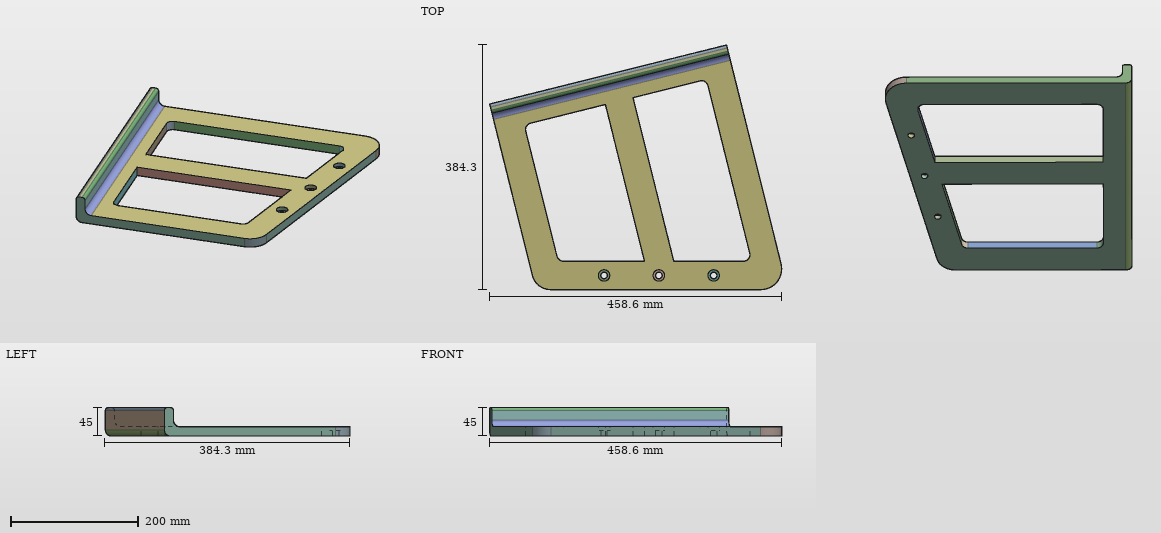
import cadquery as cq
import math

lean = math.radians(14)
width = 383.38
overall_y = 384.33
plate_thickness = 15.0
left_corner_radius = 30.0
right_corner_radius = 33.0

lip_height = 45.0
lip_thickness = 15.0
lip_top_radius = 5.0
lip_root_radius = 10.0
lip_heel_radius = 10.0

border = 45.0
right_border = 44.0
rib_width = 45.0
left_window_width = 131.0
window_corner_radius = 10.0

hole_diameter = 10.0
counterbore_diameter = 18.0
counterbore_depth = 6.0
hole_spacing = 86.0
middle_hole_x = 193.0
hole_y = border / 2

side_length = (overall_y - width * math.sin(lean)) / math.cos(lean)
window_rear = side_length - border
rib_left = border + left_window_width
rib_right = rib_left + rib_width
window_right = width - right_border


def leaning_point(across, along):
    """Point at distances across and along the leaning sides, from the sharp front left corner."""
    x = across * math.cos(lean) - along * math.sin(lean)
    y = across * math.sin(lean) + along * math.cos(lean)
    return (x, y)


def point_at_y(across, y):
    """Point with the given y on the line parallel to the left side at the given distance from it."""
    along = (y - across * math.sin(lean)) / math.cos(lean)
    return leaning_point(across, along)


def leaning_prism(left, right, front_y, rear, height):
    """Upright prism between two leaning lines, with a front edge along X and a square rear edge."""
    corners = [
        point_at_y(left, front_y),
        point_at_y(right, front_y),
        leaning_point(right, rear),
        leaning_point(left, rear),
    ]
    return cq.Workplane("XY").polyline(corners).close().extrude(height)


def upright_edge(corner):
    """Selector for the upright plate edge at a corner of the outline."""
    return cq.selectors.NearestToPointSelector((*corner, plate_thickness / 2))


def make_plate():
    plate = leaning_prism(0, width, 0, side_length, plate_thickness)
    for across, radius in ((0, left_corner_radius), (width, right_corner_radius)):
        plate = plate.edges(upright_edge(point_at_y(across, 0))).fillet(radius)
    return plate


def add_lip(plate):
    """Add the lip, blend it into the plate and round its top and heel."""
    inner_face = side_length - lip_thickness
    lip = (
        cq.Workplane("XY")
        .polyline([
            leaning_point(0, inner_face),
            leaning_point(width, inner_face),
            leaning_point(width, side_length),
            leaning_point(0, side_length),
        ])
        .close()
        .extrude(lip_height)
    )

    def lengthwise_edge(along, z):
        return cq.selectors.NearestToPointSelector((*leaning_point(width / 2, along), z))

    body = plate.union(lip)
    body = body.edges(lengthwise_edge(inner_face, plate_thickness)).fillet(lip_root_radius)
    body = body.edges(lengthwise_edge(side_length, 0)).fillet(lip_heel_radius)
    for along in (inner_face, side_length):
        body = body.edges(lengthwise_edge(along, lip_height)).fillet(lip_top_radius)
    return body


def make_window(left, right, rounded_side):
    """Window cutter with its two corners on the rounded side filleted."""
    window = leaning_prism(left, right, border, window_rear, plate_thickness)
    for corner in (point_at_y(rounded_side, border), leaning_point(rounded_side, window_rear)):
        window = window.edges(upright_edge(corner)).fillet(window_corner_radius)
    return window


def cut_holes(body):
    centers = [(middle_hole_x + step * hole_spacing, hole_y) for step in (-1, 0, 1)]
    return (
        body.copyWorkplane(cq.Workplane("XY", origin=(0, 0, plate_thickness)))
        .pushPoints(centers)
        .cboreHole(hole_diameter, counterbore_diameter, counterbore_depth)
    )


body = add_lip(make_plate())
body = body.cut(make_window(border, rib_left, border))
body = body.cut(make_window(rib_right, window_right, window_right))
result = cut_holes(body)